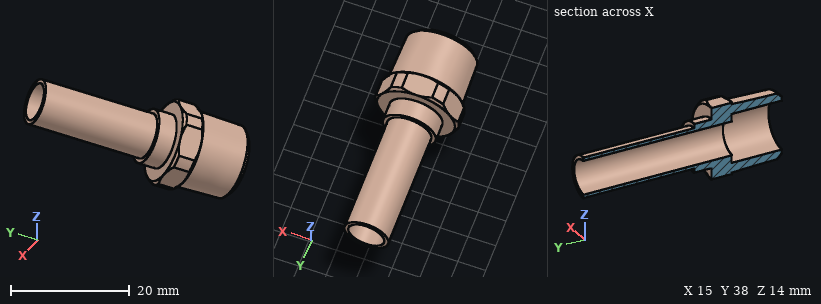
import cadquery as cq
import math

overall_length = 38.0
end_chamfer_length = 0.87
gauge_plane = 4.52
hex_start = 9.55
hex_end = 13.5
sleeve_end = 16.8

tube_diameter = 7.98
sleeve_diameter = 9.58
end_face_diameter = 11.1
gauge_diameter = 13.15
thread_taper = 1 / 16

across_flats = 14.0
corner_diameter = 15.0
hex_chamfer_length = 0.5

through_bore_diameter = 6.5
counterbore_diameter = 9.42
counterbore_depth = hex_start


def thread_radius(y):
    return (gauge_diameter + (y - gauge_plane) * thread_taper) / 2


def revolve_about_y(points):
    """Revolve a closed (radius, y) outline about the Y axis."""
    return cq.Workplane("XY").polyline(points).close().revolve(360, (0, 0, 0), (0, 1, 0))


def make_thread_and_stem():
    """Tapered thread envelope, sleeve and tube, as a solid bar."""
    tube_radius = tube_diameter / 2
    sleeve_radius = sleeve_diameter / 2
    return revolve_about_y([
        (0, 0),
        (end_face_diameter / 2, 0),
        (thread_radius(end_chamfer_length), end_chamfer_length),
        (thread_radius(hex_start), hex_start),
        (sleeve_radius, hex_start),
        (sleeve_radius, sleeve_end),
        (tube_radius, sleeve_end),
        (tube_radius, overall_length),
        (0, overall_length),
    ])


def make_hexagon():
    """Hexagon with flats facing +Z and -Z, trimmed by a chamfered disc."""
    across_corners = across_flats / math.cos(math.pi / 6)
    prism = (
        cq.Workplane("XZ", origin=(0, hex_start, 0))
        .polygon(6, across_corners)
        .extrude(hex_start - hex_end)
    )
    flat_radius = across_flats / 2
    corner_radius = corner_diameter / 2
    trimming_disc = revolve_about_y([
        (0, hex_start),
        (flat_radius, hex_start),
        (corner_radius, hex_start + hex_chamfer_length),
        (corner_radius, hex_end - hex_chamfer_length),
        (flat_radius, hex_end),
        (0, hex_end),
    ])
    return prism.intersect(trimming_disc)


def make_bore():
    through_radius = through_bore_diameter / 2
    counterbore_radius = counterbore_diameter / 2
    return revolve_about_y([
        (0, 0),
        (counterbore_radius, 0),
        (counterbore_radius, counterbore_depth),
        (through_radius, counterbore_depth),
        (through_radius, overall_length),
        (0, overall_length),
    ])


result = make_thread_and_stem().union(make_hexagon()).cut(make_bore())